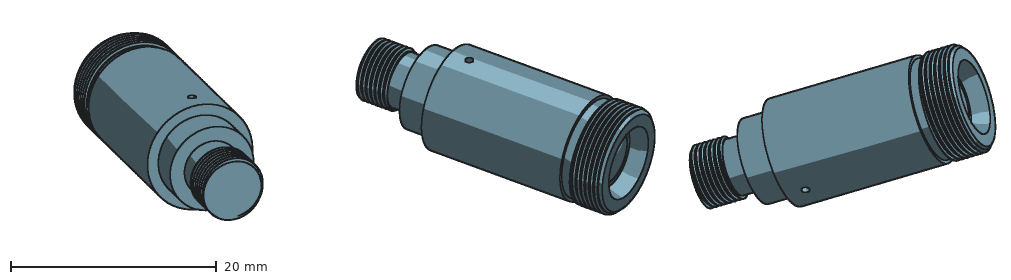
import cadquery as cq
import math


PITCH = 0.5
FLANK_ANGLE = math.radians(30)
SHARP_HEIGHT = PITCH / (2 * math.tan(FLANK_ANGLE))
THREAD_HEIGHT = SHARP_HEIGHT * 5 / 8
CREST_WIDTH = PITCH / 8
SWEEP_START_TURN = 180
THREAD_LENGTH = 3.5
ROOT_OVERLAP = 0.05

CLEARANCE = 0.06

BARREL_DIA = 11.0
BARREL_END = 20.2
BARREL_NECK_DIA = 10.3
SHOULDER_START = 4.5
FRONT_CHAMFER = 0.5
FRONT_CREST = 0.74
MOUTH_DIA = 7.5
BORE_DIA = 6.4
MOUTH_DEPTH = 1.75
SCREW_HOLE_DIA = 0.8
SCREW_HOLE_X = 18.05

STEM_DIA = BORE_DIA - 2 * CLEARANCE
COLLAR_DIA = 8.74
COLLAR_END = 23.37
NOSE_DIA = 5.75
NOSE_THREAD_DIA = 6.4
NOSE_END = 29.12
NOSE_THREAD_START = NOSE_END - THREAD_LENGTH
NOSE_CREST = 28.92

LENS_DIA = 5.3
LENS_POCKET_DIA = LENS_DIA + 2 * CLEARANCE
LENS_SAG = 0.45
LENS_THICKNESS = 2.0
LENS_FRONT_X = MOUTH_DEPTH - LENS_SAG
LENS_BACK_X = MOUTH_DEPTH + LENS_THICKNESS


def disc(start, end, dia):
    """Cylinder along X between two x positions."""
    return cq.Workplane("YZ", origin=(start, 0, 0)).circle(dia / 2).extrude(end - start)


def threaded_rod(start, end, dia, crest_x, chamfer=0):
    """Rod along X with a helical thread, a crest of which passes the +Z side at crest_x."""
    root = dia / 2 - THREAD_HEIGHT
    base = root - ROOT_OVERLAP
    half_crest = CREST_WIDTH / 2
    half_base = half_crest + (dia / 2 - base) * math.tan(FLANK_ANGLE)

    turns_before = math.ceil((crest_x - start) / PITCH) + 1
    ridge_start = crest_x - turns_before * PITCH
    ridge_length = end - ridge_start + PITCH
    path = cq.Workplane(obj=cq.Wire.makeHelix(PITCH, ridge_length, root))
    ridge = (
        cq.Workplane("XZ")
        .polyline([(base, -half_base), (dia / 2, -half_crest), (dia / 2, half_crest), (base, half_base)])
        .close()
        .sweep(path, isFrenet=True)
        .rotate((0, 0, 0), (0, 1, 0), 90)
        .rotate((0, 0, 0), (1, 0, 0), SWEEP_START_TURN)
        .translate((ridge_start, 0, 0))
    )
    long_core = disc(ridge_start - PITCH, end + 2 * PITCH, 2 * root)
    limits = disc(start, end, dia + PITCH)
    if chamfer:
        limits = limits.faces("<X").chamfer(chamfer + PITCH / 2)
    return long_core.union(ridge, clean=False).intersect(limits)


def make_barrel():
    thread = threaded_rod(0, THREAD_LENGTH, BARREL_DIA, FRONT_CREST, FRONT_CHAMFER)
    mouth = (
        cq.Workplane("YZ")
        .circle(MOUTH_DIA / 2)
        .workplane(offset=MOUTH_DEPTH)
        .circle(BORE_DIA / 2)
        .loft(ruled=True)
    )
    screw_holes = (
        cq.Workplane("XY", origin=(SCREW_HOLE_X, 0, 0))
        .circle(SCREW_HOLE_DIA / 2)
        .extrude(BARREL_DIA, both=True)
    )
    return (
        thread.union(disc(THREAD_LENGTH, SHOULDER_START, BARREL_NECK_DIA))
        .union(disc(SHOULDER_START, BARREL_END, BARREL_DIA))
        .cut(mouth)
        .cut(disc(MOUTH_DEPTH, BARREL_END, BORE_DIA))
        .cut(screw_holes)
    )


def make_connector():
    return (
        disc(MOUTH_DEPTH, BARREL_END, STEM_DIA)
        .cut(disc(MOUTH_DEPTH, LENS_BACK_X, LENS_POCKET_DIA))
        .union(disc(BARREL_END, COLLAR_END, COLLAR_DIA))
        .union(disc(COLLAR_END, NOSE_THREAD_START, NOSE_DIA))
        .union(threaded_rod(NOSE_THREAD_START, NOSE_END, NOSE_THREAD_DIA, NOSE_CREST))
    )


def make_lens():
    rim = LENS_DIA / 2
    sphere_radius = (rim**2 + LENS_SAG**2) / (2 * LENS_SAG)
    sphere = cq.Workplane("XY", origin=(LENS_FRONT_X + sphere_radius, 0, 0)).sphere(sphere_radius)
    return disc(LENS_FRONT_X, LENS_BACK_X, LENS_DIA).intersect(sphere)


barrel = make_barrel()
connector = make_connector()
lens = make_lens()
result = cq.Compound.makeCompound([barrel.solids().val(), connector.solids().val(), lens.solids().val()])